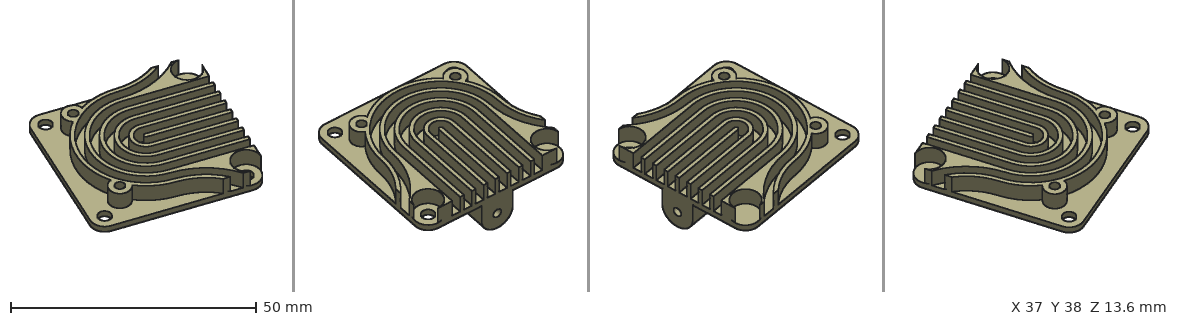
import cadquery as cq
import math

length_x = 36.97
length_y = 38.0
plate_thickness = 1.5
corner_radius = 3.25
hole_diameter = 3.0
hole_x = length_x / 2 - corner_radius
hole_y = length_y / 2 - corner_radius
pocket_radius = 3.3
pocket_y = length_y / 2 - pocket_radius

wall_height = 4.0
rib_pitch = 3.0
rib_width = 1.0
inner_ribs = 3
outer_rib = 5

post_diameter = 5.0
post_hole_diameter = 2.2
post_x = 12.0
post_y = -11.0

pad_height = 2.13
pads = [(-9.7, 10.0, 8.0), (-9.3, -4.0, 6.0)]

lug_length = 17.9
lug_width = 8.0
lug_axis_depth = 4.1
lug_scallop_size = 3.0
lug_scallop_radius = 8.0
lug_hole_diameter = 2.0

outer_wall_radius = outer_rib * rib_pitch + rib_width / 2
flare_center_x = 2 * outer_wall_radius

upper_half = cq.Workplane("XY").box(
    length_x, length_y / 2, wall_height, centered=(True, False, False)
)


def disc(x, y, radius, height):
    return cq.Workplane("XY").center(x, y).circle(radius).extrude(height)


def u_shape(radius):
    """Solid tongue with a round end, reaching the +Y edge."""
    size = (2 * radius, length_y / 2, wall_height)
    straight = cq.Workplane("XY").box(*size, centered=(True, False, False))
    return straight.union(disc(0, 0, radius, wall_height))


def flared_shape(radius):
    """Bell shape: round end for Y < 0, sides flaring outwards for Y > 0."""
    bell = upper_half.union(disc(0, 0, radius, wall_height))
    for side in (-1, 1):
        bell = bell.cut(disc(side * flare_center_x, 0, flare_center_x - radius, wall_height))
    return bell


def make_plate(height):
    block = cq.Workplane("XY").rect(length_x, length_y).extrude(height)
    return block.edges("|Z").fillet(corner_radius)


def make_ribs():
    ribs = u_shape(rib_width / 2)
    for index in range(1, inner_ribs + 1):
        middle = index * rib_pitch
        ribs = ribs.union(u_shape(middle + rib_width / 2).cut(u_shape(middle - rib_width / 2)))
    return ribs


def make_lug():
    bottom = -plate_thickness - lug_axis_depth
    stem = cq.Workplane("XY").box(lug_width, lug_length, lug_axis_depth, centered=(True, False, False))
    stem = stem.translate((0, 0, bottom))
    rod = cq.Workplane("XZ").circle(lug_width / 2).extrude(-lug_length).translate((0, 0, bottom))
    lug = stem.union(rod)
    depth = lug_axis_depth + lug_width / 2
    chord_distance = math.sqrt(lug_scallop_radius**2 - lug_scallop_size**2 / 2)
    offset = chord_distance / math.sqrt(2) - lug_scallop_size / 2
    for side in (-1, 1):
        scallop = disc(side * (lug_width / 2 + offset), -offset, lug_scallop_radius, depth)
        lug = lug.cut(scallop.translate((0, 0, bottom - lug_width / 2)))
    hole = cq.Workplane("XZ").circle(lug_hole_diameter / 2).extrude(-lug_length)
    return lug.cut(hole.translate((0, 0, bottom))).translate((0, length_y / 2 - lug_length, 0))


walls = flared_shape(outer_wall_radius)
for side in (-1, 1):
    walls = walls.union(disc(side * post_x, post_y, post_diameter / 2, wall_height))
walls = walls.cut(flared_shape(outer_wall_radius - rib_width))

island_radius = (outer_rib - 1) * rib_pitch + rib_width / 2
island = flared_shape(island_radius).cut(u_shape(island_radius - rib_width))
for side in (-1, 1):
    island = island.cut(disc(side * hole_x, pocket_y, pocket_radius, wall_height))
island = island.intersect(make_plate(wall_height))

result = make_plate(plate_thickness).translate((0, 0, -plate_thickness))
result = result.union(walls).union(island).union(make_ribs()).union(make_lug())

for x, y, diameter in pads:
    result = result.union(disc(x, y, diameter / 2, -pad_height).translate((0, 0, -plate_thickness)))

for x, y in [(-hole_x, -hole_y), (hole_x, -hole_y), (hole_x, hole_y)]:
    result = result.cut(disc(x, y, hole_diameter / 2, -plate_thickness))

for side in (-1, 1):
    drill = disc(side * post_x, post_y, post_hole_diameter / 2, wall_height + plate_thickness)
    result = result.cut(drill.translate((0, 0, -plate_thickness)))